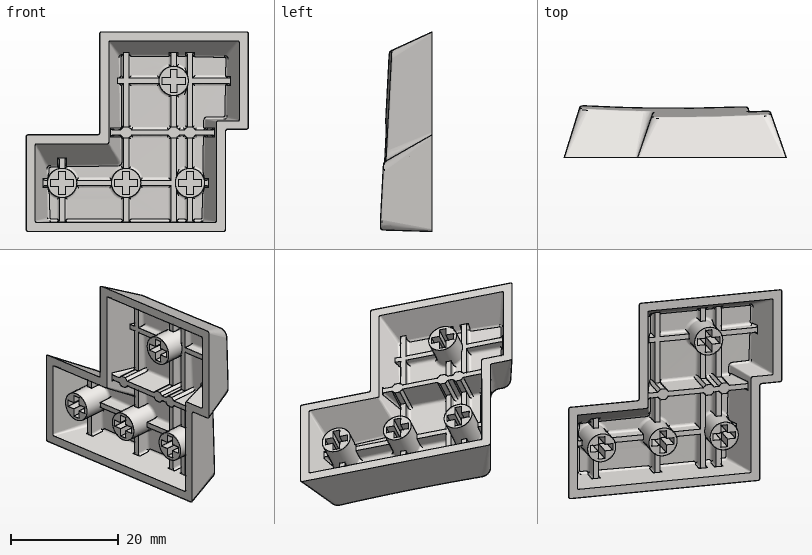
import cadquery as cq
import math

width = 41.3
height = 37.15
left_arm_start = 13.68
left_step = 18.0
right_body_end = 37.05
right_step = 19.0
right_shoulder_corner = 2

rim_width = 1.7
right_step_rim_width = 1.53
loft_depth = 10.35

draft_left = 0.31
draft_arm = 0.34
draft_right_upper = 0.35
draft_right_lower = 0.31
draft_top = 0.46
draft_left_step = 0.57
draft_right_step = 0.06
draft_bottom = 0.03

outer_rim_radius = 0.4
outer_far_radius = 2.02
inner_rim_radius = 0.3
inner_far_radius = 0.83
inner_step_radius = 0.3

dish_radius = 303.7
dish_centre_x = width / 2
dish_depth_at_bottom = 9.25
dish_tilt = 3.0
roof = 1.75
top_edge_fillet = 0.5
inside_fillet = 0.5
rib_end_fillet = 0.4

overlap = 0.01
selection_margin = 0.2

rib_width = 1.0
rib_front = 4.63
tall_rib_front = 1.0
stem_radius = 2.73
stem_front = tall_rib_front
cross_length = 4.3
cross_width = 1.3
cross_depth = 4.15
rib_columns = (6.7, 18.6, 27.45, 30.45)
lower_row = 9.05
tall_row = 18.43
upper_row = 28.0
bump_width = 2.05
bump_flat = 1.0
stems = [
    (rib_columns[0], lower_row),
    (rib_columns[1], lower_row),
    (rib_columns[3], lower_row),
    (rib_columns[2], upper_row),
]


def plane_at(depth):
    """Plane parallel to the rim, with local axes X and Z, its normal facing -Y."""
    return cq.Plane(origin=(0, depth, 0), xDir=(1, 0, 0), normal=(0, -1, 0))


def outline(inset, step_inset, depth):
    """Corner points of the L outline, each side moved inward by its inset and its draft."""
    left = inset + draft_left * depth
    arm = left_arm_start + inset + draft_arm * depth
    right_upper = width - inset - draft_right_upper * depth
    right_lower = right_body_end - inset - draft_right_lower * depth
    bottom = inset + draft_bottom * depth
    top = height - inset - draft_top * depth
    shoulder_left = left_step - inset - draft_left_step * depth
    shoulder_right = right_step + step_inset + draft_right_step * depth
    return [
        (left, bottom),
        (right_lower, bottom),
        (right_lower, shoulder_right),
        (right_upper, shoulder_right),
        (right_upper, top),
        (arm, top),
        (arm, shoulder_left),
        (left, shoulder_left),
    ]


def rounded_wire(points, radii, depth):
    """Closed wire through the right-angled corners, each rounded with an arc."""
    def toward(start, end):
        length = math.dist(start, end)
        return ((end[0] - start[0]) / length, (end[1] - start[1]) / length)

    arc_reach = 1 - math.sqrt(0.5)
    sketch = cq.Workplane(plane_at(depth))
    for index, corner in enumerate(points):
        radius = radii[index]
        back = toward(corner, points[index - 1])
        ahead = toward(corner, points[(index + 1) % len(points)])
        arc_start = tuple(c + radius * b for c, b in zip(corner, back))
        arc_end = tuple(c + radius * a for c, a in zip(corner, ahead))
        arc_middle = tuple(c + radius * arc_reach * (b + a) for c, b, a in zip(corner, back, ahead))
        sketch = sketch.moveTo(*arc_start) if index == 0 else sketch.lineTo(*arc_start)
        sketch = sketch.threePointArc(arc_middle, arc_end)
    return sketch.close().val()


def drafted_body(inset, step_inset, rim_radius, far_radius, step_far_radius):
    """Tapered block from the rim plane inward; the right shoulder has its own far radius."""
    near_points = outline(inset, step_inset, 0)
    far_points = outline(inset, step_inset, loft_depth)
    near_radii = [rim_radius] * len(near_points)
    far_radii = [far_radius] * len(far_points)
    far_radii[right_shoulder_corner] = step_far_radius
    near = rounded_wire(near_points, near_radii, 0)
    far = rounded_wire(far_points, far_radii, loft_depth)
    return cq.Workplane(obj=cq.Solid.makeLoft([near, far], True))


def inner_body(growth=0):
    """Tapered block of the inside, optionally grown outward by a small amount."""
    return drafted_body(
        rim_width - growth,
        right_step_rim_width - growth,
        inner_rim_radius,
        inner_far_radius,
        inner_step_radius,
    )


def dish(radius):
    """Large cylinder whose near side forms the hollow of the top."""
    tilt = math.radians(dish_tilt)
    axis = cq.Vector(0, -math.sin(tilt), math.cos(tilt))
    out = cq.Vector(0, math.cos(tilt), math.sin(tilt))
    start = cq.Vector(dish_centre_x, dish_depth_at_bottom, 0) + out * dish_radius - axis * height
    length = 3 * height
    return cq.Workplane(obj=cq.Solid.makeCylinder(radius, length, start, axis))


def block(x_middle, z_middle, x_size, z_size, front, depth):
    return cq.Workplane(plane_at(front)).center(x_middle, z_middle).rect(x_size, z_size).extrude(-depth)


def plain_tall_rib():
    return block(width / 2, tall_row, width, rib_width, tall_rib_front, loft_depth)


def tall_rib():
    """Deep middle rib, thickened by a bevelled bump where it crosses each column."""
    rib = plain_tall_rib()
    for x in rib_columns[1:]:
        bump = block(x, tall_row, bump_width, bump_width, tall_rib_front, loft_depth)
        rib = rib.union(bump.edges("|Y").chamfer((bump_width - bump_flat) / 2))
    return rib


def low_ribs():
    grid = block(width / 2, lower_row, width, rib_width, rib_front, loft_depth)
    grid = grid.union(block(width / 2, upper_row, width, rib_width, rib_front, loft_depth))
    for x in rib_columns:
        grid = grid.union(block(x, height / 2, rib_width, height, rib_front, loft_depth))
    return grid


def stem_posts():
    return cq.Workplane(plane_at(stem_front)).pushPoints(stems).circle(stem_radius).extrude(-loft_depth)


def stem_crosses():
    centres = cq.Workplane(plane_at(stem_front)).pushPoints(stems)
    flat = centres.rect(cross_length, cross_width).extrude(-cross_depth)
    upright = centres.rect(cross_width, cross_length).extrude(-cross_depth)
    return flat.union(upright)


def ribbed_roof():
    """Underside of the roof with ribs and stems, every foot blended into the roof."""
    slab = block(width / 2, height / 2, 2 * width, 2 * height, 0, 2 * loft_depth)
    ribbed = slab.intersect(dish(dish_radius + roof)).union(tall_rib()).union(low_ribs()).union(stem_posts())
    low = (-selection_margin, rib_front + selection_margin, -selection_margin)
    high = (width + selection_margin, loft_depth - selection_margin, height + selection_margin)
    feet = cq.selectors.BoxSelector(low, high)
    return ribbed.edges("not |Y").edges(feet).fillet(inside_fillet)


def space_between(ribs, front):
    """Inside of the cap around some ribs, with fillets where the rib ends meet the walls."""
    space = inner_body(overlap).cut(ribs)
    middle = (front + loft_depth) / 2
    low = (0, middle - selection_margin, 0)
    high = (width, middle + selection_margin, height)
    rib_ends = cq.selectors.BoxSelector(low, high)
    return space.edges("not |Y").edges(rib_ends).fillet(rib_end_fillet)


outer = drafted_body(0, 0, outer_rim_radius, outer_far_radius, outer_far_radius)
outer = outer.cut(dish(dish_radius)).faces("%CYLINDER").edges().fillet(top_edge_fillet)

cavity = inner_body().cut(dish(dish_radius + roof - overlap))
cavity = cavity.faces("%CYLINDER").edges().fillet(inside_fillet)
hollow = cavity.cut(ribbed_roof())
hollow = hollow.intersect(space_between(low_ribs(), rib_front))
hollow = hollow.intersect(space_between(plain_tall_rib(), tall_rib_front))

result = outer.cut(hollow).cut(stem_crosses())